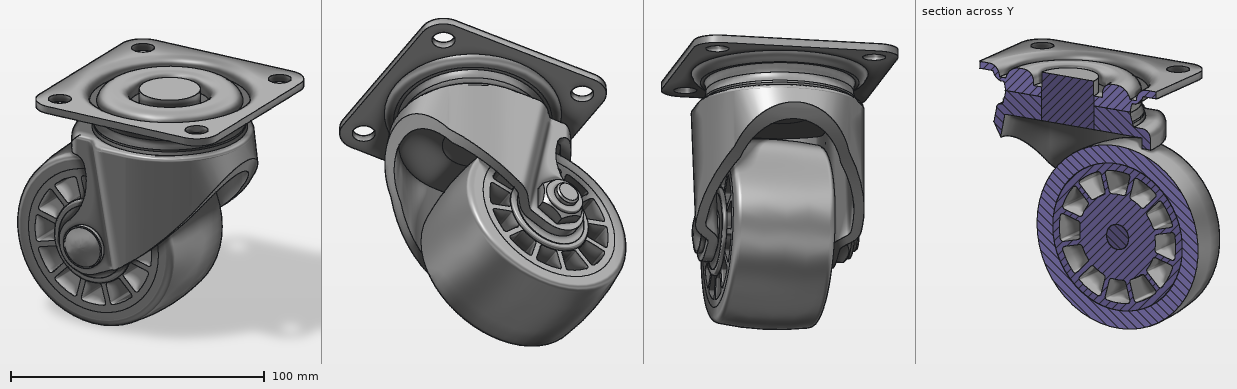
import cadquery as cq
import math


DIAG = math.sqrt(0.5)

OVERALL_LENGTH = 101.5
OVERALL_HEIGHT = 99.9

PLATE_SIDE = 82.0
PLATE_THICK = 3.0
HOLE_PITCH = 63.0
HOLE_DIA = 9.0
PLATE_CORNER_R = (PLATE_SIDE - HOLE_PITCH) / 2
DISH_R = 36.6
DISH_DEPTH = 5.0
RIDGE_OUTER_R = 29.1
RIDGE_CREST_OUTER_R = 22.5
RIDGE_CREST_INNER_R = 20.5
WELL_R = 15.8
WELL_DEPTH = 6.1
BEAD_TOP_R = 34.9
BEAD_BULGE = (33.7, -5.2)
BEAD_BOTTOM_R = 31.3
BEAD_BOTTOM_Z = -6.7

NECK_Z = -10.4
NECK_R = 29.1
NECK_UPPER_R = 29.8
NECK_BAND_R = 30.0
NECK_BAND_TOP_Z = -13.9
NECK_BAND_Z = -14.7
NECK_FOOT_R = 30.7
NECK_SAG = 0.2
KINGPIN_R = 12.1

WHEEL_R = 37.5
AXLE_X = PLATE_SIDE / 2 + WHEEL_R - OVERALL_LENGTH
AXLE_Z = WHEEL_R - OVERALL_HEIGHT
TYRE_HALF = 20.1
CROWN_HALF = 17.8
CROWN_EDGE_R = 36.1
SHOULDER_R = 33.2
TYRE_INNER_R = 29.9
WINDOW_COUNT = 12
WINDOW_OUTER_R = 26.9
HUB_R = 17.5
WINDOW_INNER_R = 17.7
SPOKE_WIDTH = 2.2
WINDOW_CORNER_R = 1.1
HUB_HALF = 21.6
HUB_ROUND_R = 0.9
HUB_RECESS_R = 15.1
HUB_RECESS_DEPTH = 0.3
COLLAR_R = 8.8

SHEET = 4.1
FORK_TOP_Z = -16.0
FORK_LOW_Z = -76.1
LEG_HALF = 26.5
BODY_HALF = 33.3
RAMP_START_X = -20.0
RAMP_END_X = -14.2
RAMP_TILT = 10.2
RAMP_FOOT_R = 2.7
RAMP_CREST_R = 7.3
LIP_X = -38.4
LIP_R = 40.6
LIP_BOTTOM_Z = -24.5
LIP_REVOLVE = 90
LIP_CORNER_R = 4.1
LIP_ROUND_R = 4.0
TOP_ROUND_R = 1.9
FLARE_X = 24.1
FLARE_SLOPE = 0.2
LEG_END_R = 12.0
LEG_ARC_START = 126.0
LEG_ARC_END = 292.0
NOTCH_START_X = -27.2
NOTCH_CORNER_MID = (-24.6, -26.0)
NOTCH_CORNER_END = (-23.2, -28.7)
FRONT_EDGE_MID = (-23.3, -41.7)
BACK_EDGE_START = (-11.3, -70.2)
BACK_EDGE_MID = (13.2, -52.5)
BACK_EDGE_END = (34.7, -23.3)

BOLT_R = 5.0
BOLT_END_Y = 35.7
BOLT_CHAMFER = 0.8
HEAD_R = 8.8
HEAD_RIM = 1.9
HEAD_DOME_R = 8.2
HEAD_HEIGHT = 3.7
DOME_MID_SHARE = 0.75
NUT_CORNER_R = 9.9
NUT_HEX_HEIGHT = 5.6
NUT_COLLAR_R = 8.0
NUT_HEIGHT = 6.7
NUT_CONE_HEIGHT = 3.7
NUT_COLLAR_ROUND = 0.5


def cylinder_z(radius, z_low, z_high):
    return cq.Workplane("XY").workplane(offset=z_low).circle(radius).extrude(z_high - z_low)


def cylinder_axle(radius, y_low, y_high):
    """Cylinder on the wheel axle between two Y positions."""
    plane = cq.Plane(origin=(AXLE_X, y_low, AXLE_Z), xDir=(1, 0, 0), normal=(0, 1, 0))
    return cq.Workplane(plane).circle(radius).extrude(y_high - y_low)


def revolve_on_axle(half_section):
    """Revolve a section drawn as (radius, y) about the wheel axle."""
    turned = half_section.close().revolve(360, (0, 0, 0), (0, 1, 0))
    return turned.translate((AXLE_X, 0, AXLE_Z))


def make_plate():
    """Square plate with a dished, beaded ring and a ridge around the kingpin."""
    slab = (
        cq.Workplane("XY")
        .rect(PLATE_SIDE, PLATE_SIDE)
        .extrude(-PLATE_THICK)
        .edges("|Z")
        .fillet(PLATE_CORNER_R)
        .faces(">Z")
        .workplane()
        .rect(HOLE_PITCH, HOLE_PITCH, forConstruction=True)
        .vertices()
        .hole(HOLE_DIA)
        .cut(cylinder_z(DISH_R, -PLATE_THICK, 0))
    )
    neck_mid_z = (NECK_Z + BEAD_BOTTOM_Z) / 2
    dish_mid_r = DISH_R - DISH_DEPTH * DIAG
    ridge_arc_r = RIDGE_OUTER_R - RIDGE_CREST_OUTER_R
    ridge_arc = math.acos(1 - DISH_DEPTH / ridge_arc_r)
    ridge_foot_r = RIDGE_CREST_OUTER_R + ridge_arc_r * math.sin(ridge_arc)
    ridge_mid_r = RIDGE_CREST_OUTER_R + ridge_arc_r * math.sin(ridge_arc / 2)
    ridge_mid_z = ridge_arc_r * (math.cos(ridge_arc / 2) - 1)
    well_arc_r = RIDGE_CREST_INNER_R - WELL_R
    well_mid_r = RIDGE_CREST_INNER_R - well_arc_r * DIAG
    center = (
        cq.Workplane("XZ")
        .moveTo(KINGPIN_R, NECK_Z)
        .lineTo(NECK_R, NECK_Z)
        .threePointArc((NECK_R + NECK_SAG, neck_mid_z), (NECK_UPPER_R, BEAD_BOTTOM_Z))
        .lineTo(BEAD_BOTTOM_R, BEAD_BOTTOM_Z)
        .threePointArc(BEAD_BULGE, (BEAD_TOP_R, -PLATE_THICK))
        .lineTo(DISH_R, -PLATE_THICK)
        .lineTo(DISH_R, 0)
        .threePointArc((dish_mid_r, -DISH_DEPTH * (1 - DIAG)), (DISH_R - DISH_DEPTH, -DISH_DEPTH))
        .lineTo(ridge_foot_r, -DISH_DEPTH)
        .threePointArc((ridge_mid_r, ridge_mid_z), (RIDGE_CREST_OUTER_R, 0))
        .lineTo(RIDGE_CREST_INNER_R, 0)
        .threePointArc((well_mid_r, -well_arc_r * (1 - DIAG)), (WELL_R, -well_arc_r))
        .lineTo(WELL_R, -WELL_DEPTH)
        .lineTo(KINGPIN_R, -WELL_DEPTH)
        .close()
        .revolve(360, (0, 0, 0), (0, 1, 0))
    )
    return slab.union(center)


def fillet_upright_edges(solid, x, half_y, radius):
    """Round the two vertical edges at (x, half_y) and (x, -half_y)."""
    margin = 0.1
    reach = 507.5
    for y in (-half_y, half_y):
        box = cq.selectors.BoxSelector(
            (x - margin, y - margin, -reach), (x + margin, y + margin, reach)
        )
        solid = solid.edges("|Z").edges(box).fillet(radius)
    return solid


def ramped_prism(inset):
    """Tilted prism: narrow at the legs, with a rounded ramp out to the wide body."""
    ramp_angle = math.atan2(BODY_HALF - LEG_HALF, RAMP_END_X - RAMP_START_X)
    shift = inset * math.tan(ramp_angle / 2)
    leg = LEG_HALF - inset
    body = BODY_HALF - inset
    start = RAMP_START_X + shift
    end = RAMP_END_X + shift
    reach = 81.2
    outline = [
        (-reach, -leg),
        (start, -leg),
        (end, -body),
        (reach, -body),
        (reach, body),
        (end, body),
        (start, leg),
        (-reach, leg),
    ]
    prism = cq.Workplane("XY").polyline(outline).close().extrude(reach, both=True)
    prism = fillet_upright_edges(prism, start, leg, RAMP_FOOT_R + inset)
    prism = fillet_upright_edges(prism, end, body, RAMP_CREST_R - inset)
    return prism.rotate((0, 0, 0), (0, 1, 0), -RAMP_TILT).translate((0, 0, FORK_TOP_Z))


def envelope(inset, top_z):
    """Space inside the fork's outer surface, moved inward by a distance."""
    back = BODY_HALF - inset
    lip_r = LIP_R - inset
    lip_center_x = LIP_X + LIP_R
    lip_side_x = lip_center_x - math.sqrt(lip_r**2 - back**2)
    height = top_z - FORK_LOW_Z
    plan = (
        cq.Workplane("XY")
        .workplane(offset=FORK_LOW_Z)
        .moveTo(lip_side_x, -back)
        .lineTo(0, -back)
        .threePointArc((back, 0), (0, back))
        .lineTo(lip_side_x, back)
        .threePointArc((LIP_X + inset, 0), (lip_side_x, -back))
        .close()
        .extrude(height)
    )
    body = plan.intersect(ramped_prism(inset))
    leg = LEG_HALF - inset
    corner_x = lip_center_x - math.sqrt(lip_r**2 - leg**2)
    return fillet_upright_edges(body, corner_x, leg, LIP_CORNER_R)


def back_flare(inset, top_z):
    """Back of the body, leaning outward below its top edge."""
    back = BODY_HALF - inset
    start_x = FLARE_X * back / BODY_HALF
    half = math.sqrt(back**2 - start_x**2)
    height = top_z - FORK_LOW_Z
    return (
        cq.Workplane("XY")
        .workplane(offset=top_z)
        .moveTo(start_x, -half)
        .threePointArc((back, 0), (start_x, half))
        .close()
        .workplane(offset=-height)
        .moveTo(start_x, -half)
        .threePointArc((back + FLARE_SLOPE * height, 0), (start_x, half))
        .close()
        .loft(ruled=True)
    )


def lip_rounding():
    """Material removed to round the top edge of the lip."""
    inner = LIP_R - LIP_ROUND_R
    middle = inner + LIP_ROUND_R * DIAG
    middle_z = FORK_TOP_Z - LIP_ROUND_R * (1 - DIAG)
    low_z = FORK_TOP_Z - LIP_ROUND_R
    outside = LIP_R + 1
    above = FORK_TOP_Z + 1
    return (
        cq.Workplane("XZ")
        .moveTo(-inner, FORK_TOP_Z)
        .threePointArc((-middle, middle_z), (-LIP_R, low_z))
        .lineTo(-outside, low_z)
        .lineTo(-outside, above)
        .lineTo(-inner, above)
        .close()
        .revolve(LIP_REVOLVE, (0, 0, 0), (0, 1, 0))
        .rotate((0, 0, 0), (0, 0, 1), -LIP_REVOLVE / 2)
        .translate((LIP_X + LIP_R, 0, 0))
    )


def leg_fronts():
    """Front parts of both legs, which reach forward below the lip."""
    front_x = AXLE_X - LEG_END_R - 1
    length = RAMP_START_X - front_x
    height = LIP_BOTTOM_Z - FORK_LOW_Z
    return (
        cq.Workplane("XY")
        .workplane(offset=FORK_LOW_Z)
        .pushPoints([(front_x + length / 2, side * (LEG_HALF - SHEET / 2)) for side in (-1, 1)])
        .rect(length, SHEET)
        .extrude(height)
    )


def leg_end_point(degrees):
    """Point on the rounded leg end, by angle about the axle."""
    angle = math.radians(degrees)
    return (AXLE_X + LEG_END_R * math.cos(angle), AXLE_Z + LEG_END_R * math.sin(angle))


def side_outline():
    """Outline of lip, legs and back in the XZ plane, as a slab across the whole fork."""
    reach = 40.6
    return (
        cq.Workplane("XZ")
        .moveTo(-reach, FORK_TOP_Z)
        .lineTo(-reach, LIP_BOTTOM_Z)
        .lineTo(NOTCH_START_X, LIP_BOTTOM_Z)
        .threePointArc(NOTCH_CORNER_MID, NOTCH_CORNER_END)
        .threePointArc(FRONT_EDGE_MID, leg_end_point(LEG_ARC_START))
        .threePointArc(leg_end_point(180), leg_end_point(LEG_ARC_END))
        .lineTo(*BACK_EDGE_START)
        .threePointArc(BACK_EDGE_MID, BACK_EDGE_END)
        .lineTo(reach, FORK_TOP_Z)
        .close()
        .extrude(reach, both=True)
    )


def make_neck():
    """Lower half of the neck, standing on the fork."""
    base_z = FORK_TOP_Z - SHEET / 2
    mid_z = (NECK_Z + NECK_BAND_TOP_Z) / 2
    return (
        cq.Workplane("XZ")
        .moveTo(0, base_z)
        .lineTo(NECK_FOOT_R, base_z)
        .lineTo(NECK_FOOT_R, FORK_TOP_Z)
        .lineTo(NECK_BAND_R, NECK_BAND_Z)
        .lineTo(NECK_BAND_R, NECK_BAND_TOP_Z)
        .threePointArc((NECK_R + NECK_SAG, mid_z), (NECK_R, NECK_Z))
        .lineTo(0, NECK_Z)
        .close()
        .revolve(360, (0, 0, 0), (0, 1, 0))
    )


def make_fork():
    """Sheet fork with two legs, a lip over the wheel and a neck on top."""
    outer = envelope(0, FORK_TOP_Z).faces(">Z").edges().fillet(TOP_ROUND_R)
    outer = outer.cut(lip_rounding()).union(back_flare(0, FORK_TOP_Z - TOP_ROUND_R))
    ceiling_z = FORK_TOP_Z - SHEET
    cavity = envelope(SHEET, ceiling_z).union(back_flare(SHEET, ceiling_z))
    fork = outer.cut(cavity).union(leg_fronts()).intersect(side_outline()).union(make_neck())
    fork = fork.cut(cylinder_z(KINGPIN_R, ceiling_z, NECK_Z))
    leg_inner = LEG_HALF - SHEET
    fork = fork.cut(cylinder_axle(HUB_R + HUB_ROUND_R, -leg_inner, leg_inner))
    return fork.cut(cylinder_axle(BOLT_R, -LEG_HALF, LEG_HALF))


def make_kingpin():
    """Plain pin through plate and fork, flush with the plate top."""
    return cylinder_z(KINGPIN_R, FORK_TOP_Z - SHEET, 0)


def make_tyre():
    """Crowned tyre with rounded shoulders."""
    shoulder = (
        SHOULDER_R + (CROWN_EDGE_R - SHOULDER_R) * DIAG,
        CROWN_HALF + (TYRE_HALF - CROWN_HALF) * DIAG,
    )
    return revolve_on_axle(
        cq.Workplane("XY")
        .moveTo(TYRE_INNER_R, -TYRE_HALF)
        .lineTo(SHOULDER_R, -TYRE_HALF)
        .threePointArc((shoulder[0], -shoulder[1]), (CROWN_EDGE_R, -CROWN_HALF))
        .threePointArc((WHEEL_R, 0), (CROWN_EDGE_R, CROWN_HALF))
        .threePointArc(shoulder, (SHOULDER_R, TYRE_HALF))
        .lineTo(TYRE_INNER_R, TYRE_HALF)
    )


def make_window():
    """One opening between two spokes, centred on +X from the axle."""
    half_width = SPOKE_WIDTH / 2
    half_step = math.pi / WINDOW_COUNT

    def corner(radius):
        angle = half_step - math.asin(half_width / radius)
        return (radius * math.cos(angle), radius * math.sin(angle))

    outer_x, outer_y = corner(WINDOW_OUTER_R)
    inner_x, inner_y = corner(WINDOW_INNER_R)
    return (
        cq.Workplane("XZ")
        .workplane(offset=-TYRE_HALF)
        .moveTo(inner_x, -inner_y)
        .lineTo(outer_x, -outer_y)
        .threePointArc((WINDOW_OUTER_R, 0), (outer_x, outer_y))
        .lineTo(inner_x, inner_y)
        .threePointArc((WINDOW_INNER_R, 0), (inner_x, -inner_y))
        .close()
        .extrude(2 * TYRE_HALF)
        .edges("|Y")
        .fillet(WINDOW_CORNER_R)
    )


def make_wheel_core():
    """Spoked core with a hub that runs between the fork legs."""
    leg_inner = LEG_HALF - SHEET
    recess_floor = HUB_HALF - HUB_RECESS_DEPTH
    round_inset = HUB_ROUND_R * (1 - DIAG)
    half_section = (
        cq.Workplane("XY")
        .moveTo(BOLT_R, 0)
        .lineTo(TYRE_INNER_R, 0)
        .lineTo(TYRE_INNER_R, TYRE_HALF)
        .lineTo(HUB_R, TYRE_HALF)
        .lineTo(HUB_R, HUB_HALF - HUB_ROUND_R)
        .threePointArc((HUB_R - round_inset, HUB_HALF - round_inset), (HUB_R - HUB_ROUND_R, HUB_HALF))
        .lineTo(HUB_RECESS_R, HUB_HALF)
        .lineTo(HUB_RECESS_R, recess_floor)
        .lineTo(COLLAR_R, recess_floor)
        .lineTo(COLLAR_R, leg_inner)
        .lineTo(BOLT_R, leg_inner)
    )
    half = revolve_on_axle(half_section)
    core = half.union(half.mirror("XZ"))
    window = make_window()
    for index in range(WINDOW_COUNT):
        turned = window.rotate((0, 0, 0), (0, 1, 0), index * 360 / WINDOW_COUNT)
        core = core.cut(turned.translate((AXLE_X, 0, AXLE_Z)))
    return core


def make_bolt():
    """Axle bolt with a domed head at -Y."""
    head_back = -LEG_HALF
    rim = head_back - HEAD_RIM
    tip = head_back - HEAD_HEIGHT
    dome_rise = HEAD_HEIGHT - HEAD_RIM
    return revolve_on_axle(
        cq.Workplane("XY")
        .moveTo(0, tip)
        .threePointArc((HEAD_DOME_R / 2, rim - DOME_MID_SHARE * dome_rise), (HEAD_DOME_R, rim))
        .lineTo(HEAD_R, rim)
        .lineTo(HEAD_R, head_back)
        .lineTo(BOLT_R, head_back)
        .lineTo(BOLT_R, BOLT_END_Y - BOLT_CHAMFER)
        .lineTo(BOLT_R - BOLT_CHAMFER, BOLT_END_Y)
        .lineTo(0, BOLT_END_Y)
    )


def make_nut():
    """Hexagon nut at +Y with a coned top and a round collar."""
    corners = []
    for index in range(6):
        angle = math.radians(30 + 60 * index)
        corners.append((NUT_CORNER_R * math.cos(angle), NUT_CORNER_R * math.sin(angle)))
    hexagon = (
        cq.Workplane("XZ")
        .workplane(offset=-LEG_HALF - NUT_HEX_HEIGHT)
        .polyline(corners)
        .close()
        .extrude(NUT_HEX_HEIGHT)
        .translate((AXLE_X, 0, AXLE_Z))
    )
    cone = revolve_on_axle(
        cq.Workplane("XY")
        .moveTo(0, LEG_HALF)
        .lineTo(NUT_CORNER_R, LEG_HALF)
        .lineTo(NUT_CORNER_R, LEG_HALF + NUT_CONE_HEIGHT)
        .lineTo(NUT_COLLAR_R, LEG_HALF + NUT_HEX_HEIGHT)
        .lineTo(0, LEG_HALF + NUT_HEX_HEIGHT)
    )
    collar = cylinder_axle(NUT_COLLAR_R, LEG_HALF, LEG_HALF + NUT_HEIGHT)
    collar = collar.faces(">Y").edges().fillet(NUT_COLLAR_ROUND)
    nut = hexagon.intersect(cone).union(collar)
    return nut.cut(cylinder_axle(BOLT_R, LEG_HALF, LEG_HALF + NUT_HEIGHT))


plate = make_plate()
fork = make_fork()
kingpin = make_kingpin()
tyre = make_tyre()
wheel_core = make_wheel_core()
bolt = make_bolt()
nut = make_nut()

result = cq.Compound.makeCompound(
    [plate.val(), fork.val(), kingpin.val(), tyre.val(), wheel_core.val(), bolt.val(), nut.val()]
)